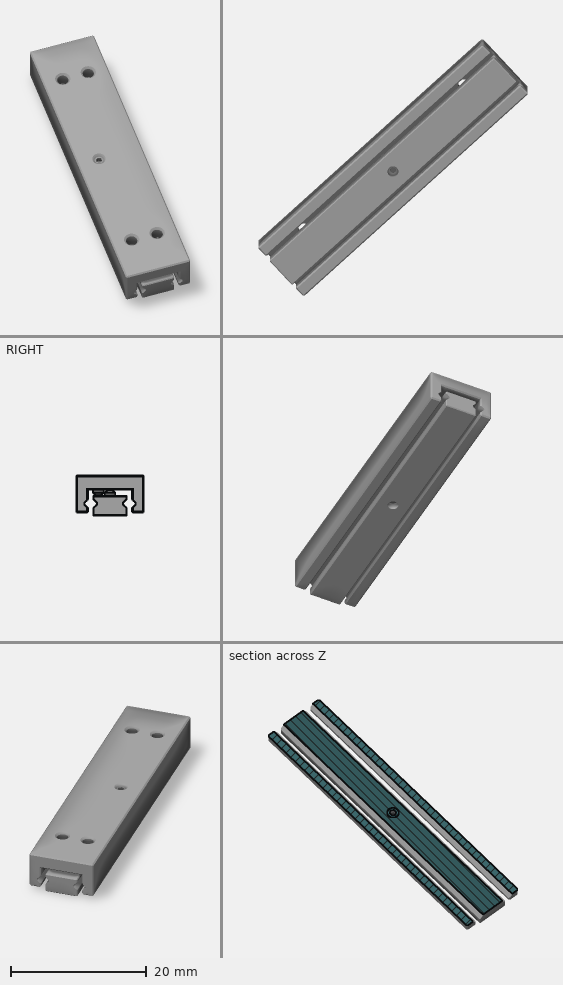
import cadquery as cq

LENGTH = 45.0
TOTAL_HEIGHT = 6.0

CARRIAGE_WIDTH = 10.0
CARRIAGE_BOTTOM = 0.5
CARRIAGE_CHAMFER = 0.2
CHANNEL_WIDTH = 6.4
CHANNEL_CEILING = 3.82

RAIL_WIDTH = 5.0
RAIL_HEIGHT = 2.95
RAIL_CHAMFER = 0.15

GROOVE_HEIGHT = 1.8
GROOVE_MOUTH = 1.4
GROOVE_DEPTH = 0.6
ROOT_WIDTH = 0.55

MOUNT_DIAMETER = 1.65
MOUNT_RIM_DIAMETER = 2.25
MOUNT_SPACING_X = 32.0
MOUNT_SPACING_Y = 3.95

CHAMFER_ANGLE = 90

SCREW_DIAMETER = 1.6
SCREW_TIP_DIAMETER = 0.8
SCREW_LENGTH = 2.6
SOCKET_SIDES = 6
SOCKET_ACROSS_CORNERS = 0.95
SOCKET_DEPTH = 0.68
STOP_SCREW_Y = -1.7
RAIL_SCREW_TIP = 3.8

KEY_DIAMETER = 1.3
KEY_RIM_DIAMETER = 2.0

KEY_DEPTH = (KEY_RIM_DIAMETER - KEY_DIAMETER) / 2
STOP_SCREW_TOP = TOTAL_HEIGHT - KEY_DEPTH


def block(width, bottom, top):
    """Bar along the full length, centred on X and Y."""
    bar = cq.Workplane("XY").box(LENGTH, width, top - bottom, centered=(True, True, False))
    return bar.translate((0, 0, bottom))


def groove(wall_y, inward):
    """Groove cutter with its mouth on the wall; `inward` is the Y direction into the material."""
    vee_depth = (GROOVE_MOUTH - ROOT_WIDTH) / 2
    vee_y = wall_y + inward * vee_depth
    root_y = wall_y + inward * GROOVE_DEPTH
    half_mouth = GROOVE_MOUTH / 2
    half_root = ROOT_WIDTH / 2
    return (
        cq.Workplane("YZ")
        .moveTo(wall_y, GROOVE_HEIGHT - half_mouth)
        .lineTo(vee_y, GROOVE_HEIGHT - half_root)
        .threePointArc((root_y, GROOVE_HEIGHT), (vee_y, GROOVE_HEIGHT + half_root))
        .lineTo(wall_y, GROOVE_HEIGHT + half_mouth)
        .close()
        .extrude(LENGTH / 2, both=True)
    )


def cylinder(diameter, bottom, top, y):
    """Upright cylinder at mid-length."""
    return cq.Workplane("XY", origin=(0, y, bottom)).circle(diameter / 2).extrude(top - bottom)


def set_screw():
    """Set screw with its flat-ended cone point down at Z = 0 and its hex socket on top."""
    cone_height = (SCREW_DIAMETER - SCREW_TIP_DIAMETER) / 2
    screw = cq.Workplane("XY").circle(SCREW_DIAMETER / 2).extrude(SCREW_LENGTH)
    screw = screw.faces("<Z").chamfer(cone_height)
    return screw.faces(">Z").workplane().polygon(SOCKET_SIDES, SOCKET_ACROSS_CORNERS).cutBlind(-SOCKET_DEPTH)


def carriage():
    body = block(CARRIAGE_WIDTH, CARRIAGE_BOTTOM, TOTAL_HEIGHT)
    body = body.cut(block(CHANNEL_WIDTH, CARRIAGE_BOTTOM, CHANNEL_CEILING))

    margin = CARRIAGE_CHAMFER
    ceiling_corners = cq.selectors.BoxSelector(
        (-margin, -CHANNEL_WIDTH / 2 - margin, CHANNEL_CEILING - margin),
        (margin, CHANNEL_WIDTH / 2 + margin, CHANNEL_CEILING + margin),
    )
    body = body.edges(cq.selectors.SubtractSelector(cq.Selector(), ceiling_corners)).chamfer(CARRIAGE_CHAMFER)

    for side in (-1, 1):
        body = body.cut(groove(side * CHANNEL_WIDTH / 2, side))

    top_plane = cq.Plane(origin=(0, 0, TOTAL_HEIGHT))
    body = (
        body.copyWorkplane(cq.Workplane(top_plane))
        .rarray(MOUNT_SPACING_X, MOUNT_SPACING_Y, 2, 2)
        .cskHole(MOUNT_DIAMETER, MOUNT_RIM_DIAMETER, CHAMFER_ANGLE)
    )

    body = body.cut(cylinder(SCREW_DIAMETER, CHANNEL_CEILING, STOP_SCREW_TOP, STOP_SCREW_Y))
    return (
        body.copyWorkplane(cq.Workplane(top_plane))
        .center(0, STOP_SCREW_Y)
        .cskHole(KEY_DIAMETER, KEY_RIM_DIAMETER, CHAMFER_ANGLE, KEY_DEPTH)
    )


def rail():
    body = block(RAIL_WIDTH, 0, RAIL_HEIGHT).edges().chamfer(RAIL_CHAMFER)
    for side in (-1, 1):
        body = body.cut(groove(side * RAIL_WIDTH / 2, -side))
    return body.cut(cylinder(SCREW_DIAMETER, 0, RAIL_HEIGHT, 0))


stop_screw = set_screw().translate((0, STOP_SCREW_Y, STOP_SCREW_TOP - SCREW_LENGTH))
rail_screw = set_screw().rotate((0, 0, 0), (1, 0, 0), 180).translate((0, 0, RAIL_SCREW_TIP))

result = cq.Compound.makeCompound([carriage().val(), rail().val(), stop_screw.val(), rail_screw.val()])